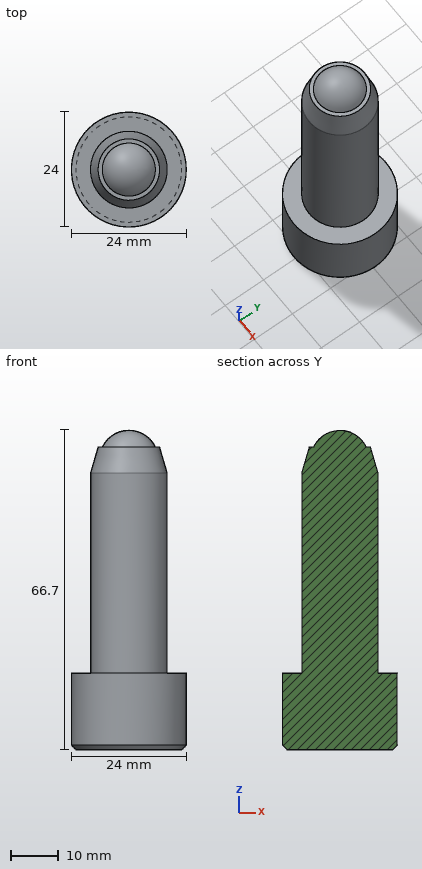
import cadquery as cq

total_height = 66.7
head_diameter = 24.0
shank_diameter = 16.0
head_height = 16.0
head_chamfer = 1.0

taper_height = 5.5
taper_top_diameter = 12.8
cap_height = 3.5
cap_base_diameter = 11.1

head_radius = head_diameter / 2
shank_radius = shank_diameter / 2
taper_top_radius = taper_top_diameter / 2
cap_base_radius = cap_base_diameter / 2
taper_top_z = total_height - cap_height
taper_start_z = taper_top_z - taper_height

cap_sphere_radius = (cap_base_radius**2 + cap_height**2) / (2 * cap_height)
cap_center_z = total_height - cap_sphere_radius
cap_mid_radius = cap_base_radius / 2
cap_mid_z = cap_center_z + (cap_sphere_radius**2 - cap_mid_radius**2) ** 0.5

result = (
    cq.Workplane("XZ")
    .moveTo(0, 0)
    .lineTo(head_radius - head_chamfer, 0)
    .lineTo(head_radius, head_chamfer)
    .lineTo(head_radius, head_height)
    .lineTo(shank_radius, head_height)
    .lineTo(shank_radius, taper_start_z)
    .lineTo(taper_top_radius, taper_top_z)
    .lineTo(cap_base_radius, taper_top_z)
    .threePointArc((cap_mid_radius, cap_mid_z), (0, total_height))
    .close()
    .revolve(360, (0, 0, 0), (0, 1, 0))
)